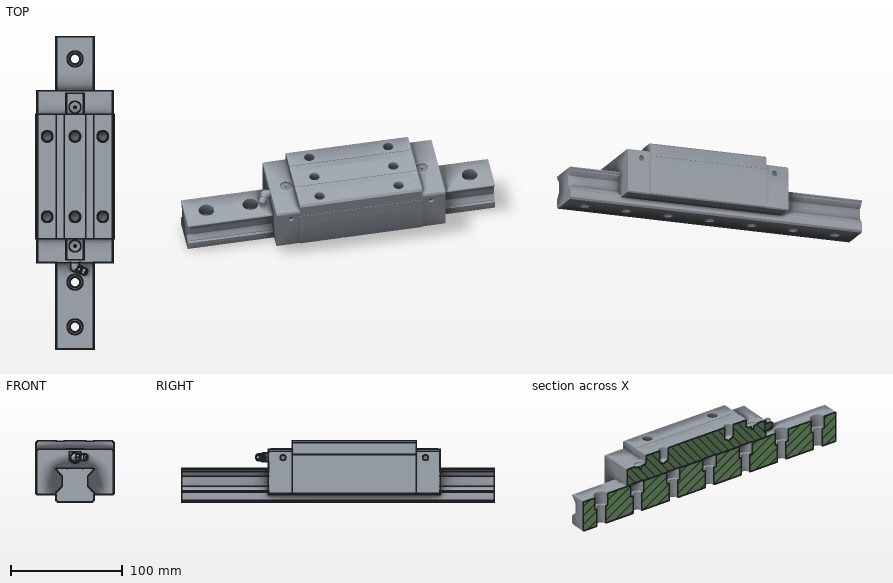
import cadquery as cq
import math

RAIL_LENGTH = 280.0
RAIL_HEIGHT = 30.2
RAIL_HALF_WIDTH = 17.0
RAIL_WAIST_HALF_WIDTH = 11.5
RAIL_SHOULDER_HALF_WIDTH = 15.5
RAIL_BASE_CHAMFER = 1.7
RAIL_TOP_CHAMFER = 0.5
RAIL_EDGE_BEVEL = 0.8
RAIL_SHOULDER_LAND = 0.5
RAIL_BASE_SIDE_TOP = 8.7
RAIL_HEAD_SIDE_BOTTOM = 29.5
RAIL_HOLE_COUNT = 7
RAIL_HOLE_PITCH = RAIL_LENGTH / RAIL_HOLE_COUNT
RAIL_HOLE_DIAMETER = 9.0
RAIL_BORE_DIAMETER = 14.0
RAIL_BORE_DEPTH = 12.0

CARRIAGE_CENTRE_Y = 14.5
CARRIAGE_BOTTOM = 6.7
BLOCK_LENGTH = 111.5
BLOCK_WIDTH = 70.0
BLOCK_TOP = 55.0
BLOCK_TOP_CHAMFER = 1.7
BOTTOM_CHAMFER = 1.0
SIDE_GROOVE_Z = 42.5
SIDE_GROOVE_HEIGHT = 0.8
SIDE_GROOVE_DEPTH = 0.3
CAP_LENGTH = 21.3
CAP_WIDTH = 68.5
CAP_TOP = 47.3
CAP_TOP_CHAMFER_WIDTH = 1.0
CAP_TOP_CHAMFER_HEIGHT = 1.7

TOP_GROOVE_INNER_X = 9.8
TOP_GROOVE_WIDTH = 7.0
TOP_GROOVE_DEPTH = 0.42

MOUNT_PITCH_X = 25.0
MOUNT_PITCH_Y = 72.0
MOUNT_HOLE_DIAMETER = 9.0
MOUNT_HOLE_DEPTH = 12.0
MOUNT_CHAMFER = 0.5
DRILL_TIP_ANGLE = 118.0

PAD_BASE_WIDTH = 16.5
PAD_TOP_WIDTH = 15.0
PAD_END_WALL = 2.5
PAD_HEIGHT = 0.3
PORT_DIAMETER = 10.5
PORT_FROM_BLOCK = 6.5
PORT_DEPTH = 1.5
OIL_HOLE_DIAMETER = 2.0
OIL_HOLE_DEPTH = 2.8

SIDE_HOLE_DIAMETER = 5.0
SIDE_HOLE_FROM_BLOCK = 8.0
SIDE_HOLE_Z = 39.8
SIDE_HOLE_DEPTH = 2.8

NIPPLE_Z = 40.0
NIPPLE_RECESS_WIDTH = 10.5
NIPPLE_RECESS_TOP = 45.0
NIPPLE_RECESS_DEPTH = 0.8
NIPPLE_RADIUS = 4.0
NIPPLE_STEM_REACH = 4.2
NIPPLE_ARM_ANGLE = -25.0
NIPPLE_ARM_LENGTH = 11.8
NIPPLE_HEX_CORNERS = 7.0
NIPPLE_HEX_END = 5.5
NIPPLE_NECK_RADIUS = 2.2
NIPPLE_NECK_END = 6.7
NIPPLE_HEAD_RADIUS = 3.0
NIPPLE_HEAD_STRAIGHT_END = 10.0
NIPPLE_TIP_RADIUS = 2.0


def mirrored_outline(right_side):
    """Closed outline, symmetric about X = 0, from its right-hand points listed bottom to top."""
    left_side = [(-x, z) for x, z in reversed(right_side)]
    return right_side + left_side


def extrude_along_y(outline, length, centre_y):
    """Extrude an XZ outline along Y, centred on centre_y."""
    plane = cq.Workplane("XZ", origin=(0, centre_y, 0))
    return plane.polyline(outline).close().extrude(length / 2, both=True)


def box_between(x_range, y_range, z_range):
    """Axis-aligned box given by its limits along each axis."""
    size = [high - low for low, high in (x_range, y_range, z_range)]
    corner = (x_range[0], y_range[0], z_range[0])
    return cq.Workplane("XY").box(*size, centered=False).translate(corner)


def vertical_cylinder(diameter, depth, centre, top):
    """Cylinder that goes down by depth from height top."""
    plane = cq.Workplane("XY", origin=(*centre, top))
    return plane.circle(diameter / 2).extrude(-depth)



def rail_blank():
    """Rail bar without its bolt holes: wide head and foot joined by a waist."""
    waist_rise = RAIL_SHOULDER_HALF_WIDTH - RAIL_WAIST_HALF_WIDTH
    foot_shoulder = RAIL_BASE_SIDE_TOP + RAIL_EDGE_BEVEL + RAIL_SHOULDER_LAND
    head_land_top = RAIL_HEAD_SIDE_BOTTOM - (RAIL_HALF_WIDTH - RAIL_SHOULDER_HALF_WIDTH)
    head_shoulder = head_land_top - RAIL_SHOULDER_LAND
    right_side = [
        (RAIL_HALF_WIDTH - RAIL_BASE_CHAMFER, 0),
        (RAIL_HALF_WIDTH, RAIL_BASE_CHAMFER),
        (RAIL_HALF_WIDTH, RAIL_BASE_SIDE_TOP),
        (RAIL_SHOULDER_HALF_WIDTH, RAIL_BASE_SIDE_TOP + RAIL_EDGE_BEVEL),
        (RAIL_SHOULDER_HALF_WIDTH, foot_shoulder),
        (RAIL_WAIST_HALF_WIDTH, foot_shoulder + waist_rise),
        (RAIL_WAIST_HALF_WIDTH, head_shoulder - waist_rise),
        (RAIL_SHOULDER_HALF_WIDTH, head_shoulder),
        (RAIL_SHOULDER_HALF_WIDTH, head_land_top),
        (RAIL_HALF_WIDTH, RAIL_HEAD_SIDE_BOTTOM),
        (RAIL_HALF_WIDTH, RAIL_HEIGHT - RAIL_TOP_CHAMFER),
        (RAIL_HALF_WIDTH - RAIL_TOP_CHAMFER, RAIL_HEIGHT),
    ]
    return extrude_along_y(mirrored_outline(right_side), RAIL_LENGTH, 0)


def make_rail():
    """Rail with a row of counterbored bolt holes, half a pitch from each end."""
    rail = rail_blank()
    for index in range(RAIL_HOLE_COUNT):
        centre = (0, (index + 0.5) * RAIL_HOLE_PITCH - RAIL_LENGTH / 2)
        rail = rail.cut(vertical_cylinder(RAIL_HOLE_DIAMETER, RAIL_HEIGHT, centre, RAIL_HEIGHT))
        rail = rail.cut(vertical_cylinder(RAIL_BORE_DIAMETER, RAIL_BORE_DEPTH, centre, RAIL_HEIGHT))
    return rail



def chamfered_bar(width, top, chamfer_width, chamfer_height, length):
    """Bar on the carriage centre with chamfered top and bottom edges."""
    half = width / 2
    right_side = [
        (half - BOTTOM_CHAMFER, CARRIAGE_BOTTOM),
        (half, CARRIAGE_BOTTOM + BOTTOM_CHAMFER),
        (half, top - chamfer_height),
        (half - chamfer_width, top),
    ]
    return extrude_along_y(mirrored_outline(right_side), length, CARRIAGE_CENTRE_Y)


def cut_block_grooves(body):
    """Shallow grooves along the block: two in its top and one in each side."""
    block_y = (CARRIAGE_CENTRE_Y - BLOCK_LENGTH / 2, CARRIAGE_CENTRE_Y + BLOCK_LENGTH / 2)
    top_groove = box_between(
        (TOP_GROOVE_INNER_X, TOP_GROOVE_INNER_X + TOP_GROOVE_WIDTH),
        block_y,
        (BLOCK_TOP - TOP_GROOVE_DEPTH, BLOCK_TOP),
    )
    side_groove = box_between(
        (BLOCK_WIDTH / 2 - SIDE_GROOVE_DEPTH, BLOCK_WIDTH / 2),
        block_y,
        (SIDE_GROOVE_Z - SIDE_GROOVE_HEIGHT / 2, SIDE_GROOVE_Z + SIDE_GROOVE_HEIGHT / 2),
    )
    for groove in (top_groove, side_groove):
        body = body.cut(groove).cut(groove.mirror("YZ"))
    return body


def mounting_hole(centre):
    """Cutter for a blind hole with a chamfered mouth and a conical drill tip."""
    radius = MOUNT_HOLE_DIAMETER / 2
    tip_length = radius / math.tan(math.radians(DRILL_TIP_ANGLE / 2))
    half_profile = [
        (0, 0),
        (radius + MOUNT_CHAMFER, 0),
        (radius, -MOUNT_CHAMFER),
        (radius, -MOUNT_HOLE_DEPTH),
        (0, -MOUNT_HOLE_DEPTH - tip_length),
    ]
    cutter = cq.Workplane("XZ").polyline(half_profile).close().revolve(360, (0, 0), (0, 1))
    return cutter.translate((*centre, BLOCK_TOP))


def cut_mounting_holes(body):
    """Three columns and two rows of mounting holes in the block top."""
    for column in (-1, 0, 1):
        for row in (-1, 1):
            centre = (column * MOUNT_PITCH_X, CARRIAGE_CENTRE_Y + row * MOUNT_PITCH_Y / 2)
            body = body.cut(mounting_hole(centre))
    return body


def add_cap_details(body, end):
    """Lubrication pad and side holes of the end cap on the given side (+1 or -1 along Y)."""
    block_face = CARRIAGE_CENTRE_Y + end * BLOCK_LENGTH / 2
    pad_length = CAP_LENGTH - PAD_END_WALL
    pad_top = CAP_TOP + PAD_HEIGHT
    pad_right_side = [(PAD_BASE_WIDTH / 2, CAP_TOP), (PAD_TOP_WIDTH / 2, pad_top)]
    pad_outline = mirrored_outline(pad_right_side)
    body = body.union(extrude_along_y(pad_outline, pad_length, block_face + end * pad_length / 2))

    port_centre = (0, block_face + end * PORT_FROM_BLOCK)
    port = vertical_cylinder(PORT_DIAMETER, PORT_DEPTH, port_centre, pad_top)
    oil_hole = vertical_cylinder(OIL_HOLE_DIAMETER, OIL_HOLE_DEPTH, port_centre, pad_top - PORT_DEPTH)
    body = body.cut(port).cut(oil_hole)

    side_hole_y = block_face + end * SIDE_HOLE_FROM_BLOCK
    side_hole = (
        cq.Workplane("YZ", origin=(CAP_WIDTH / 2, side_hole_y, SIDE_HOLE_Z))
        .circle(SIDE_HOLE_DIAMETER / 2)
        .extrude(-SIDE_HOLE_DEPTH)
    )
    return body.cut(side_hole).cut(side_hole.mirror("YZ"))


def nipple_seat_y():
    """Y of the recess floor on which the grease nipple sits."""
    return CARRIAGE_CENTRE_Y - BLOCK_LENGTH / 2 - CAP_LENGTH + NIPPLE_RECESS_DEPTH


def nipple_recess():
    """Cutter for the recess around the nipple: flat top, straight sides, round bottom."""
    half = NIPPLE_RECESS_WIDTH / 2
    return (
        cq.Workplane("XZ", origin=(0, nipple_seat_y(), 0))
        .moveTo(-half, NIPPLE_RECESS_TOP)
        .lineTo(-half, NIPPLE_Z)
        .threePointArc((0, NIPPLE_Z - half), (half, NIPPLE_Z))
        .lineTo(half, NIPPLE_RECESS_TOP)
        .close()
        .extrude(NIPPLE_RECESS_DEPTH)
    )


def make_carriage():
    """Block and end caps as one body, wrapped closely around the rail."""
    block = chamfered_bar(BLOCK_WIDTH, BLOCK_TOP, BLOCK_TOP_CHAMFER, BLOCK_TOP_CHAMFER, BLOCK_LENGTH)
    caps = chamfered_bar(
        CAP_WIDTH,
        CAP_TOP,
        CAP_TOP_CHAMFER_WIDTH,
        CAP_TOP_CHAMFER_HEIGHT,
        BLOCK_LENGTH + 2 * CAP_LENGTH,
    )
    body = block.union(caps).cut(rail_blank())
    body = cut_block_grooves(body)
    body = cut_mounting_holes(body)
    for end in (-1, 1):
        body = add_cap_details(body, end)
    return body.cut(nipple_recess())



def make_nipple():
    """Stem pointing along -Y, a ball at its end and an arm with a hexagon, neck and head."""
    stem_length = NIPPLE_STEM_REACH + NIPPLE_RECESS_DEPTH
    ball_y = nipple_seat_y() - stem_length
    stem = (
        cq.Workplane("XZ", origin=(0, nipple_seat_y(), NIPPLE_Z))
        .circle(NIPPLE_RADIUS)
        .extrude(stem_length)
    )
    ball = cq.Workplane("XY").sphere(NIPPLE_RADIUS).translate((0, ball_y, NIPPLE_Z))
    arm_half_profile = [
        (0, 0),
        (0, NIPPLE_NECK_RADIUS),
        (NIPPLE_NECK_END, NIPPLE_NECK_RADIUS),
        (NIPPLE_NECK_END, NIPPLE_HEAD_RADIUS),
        (NIPPLE_HEAD_STRAIGHT_END, NIPPLE_HEAD_RADIUS),
        (NIPPLE_ARM_LENGTH, NIPPLE_TIP_RADIUS),
        (NIPPLE_ARM_LENGTH, 0),
    ]
    hexagon = cq.Workplane("YZ").polygon(6, NIPPLE_HEX_CORNERS).extrude(NIPPLE_HEX_END)
    arm = (
        cq.Workplane("XY")
        .polyline(arm_half_profile)
        .close()
        .revolve(360, (0, 0), (1, 0))
        .union(hexagon)
        .rotate((0, 0, 0), (0, 0, 1), NIPPLE_ARM_ANGLE)
        .translate((0, ball_y, NIPPLE_Z))
    )
    return stem.union(ball).union(arm)


rail = make_rail()
carriage = make_carriage()
nipple = make_nipple()
result = cq.Compound.makeCompound([rail.val(), carriage.val(), nipple.val()])